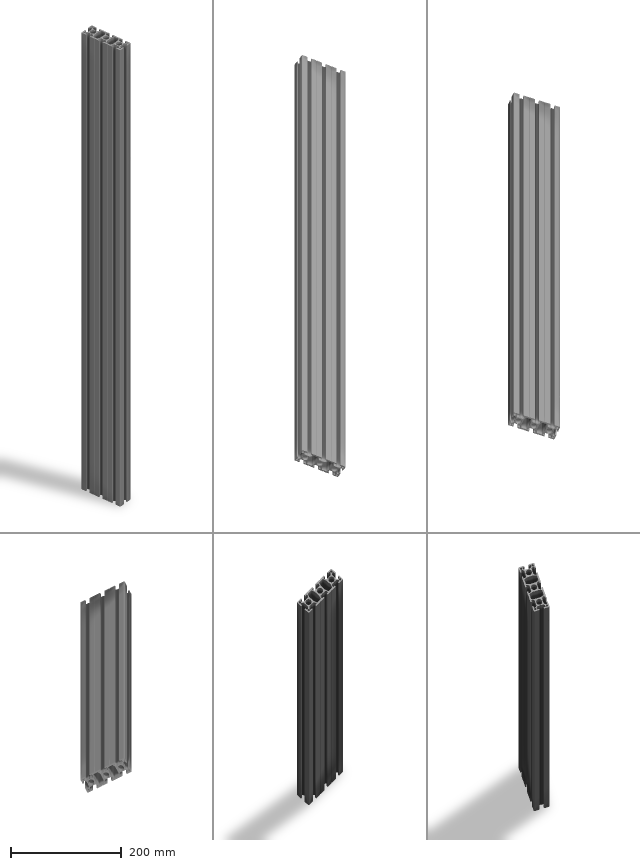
import cadquery as cq

length = 1000.0
module = 30.0
module_count = 3
width = module * module_count
half_module = module / 2
corner_radius = 2.0

slot_opening = 8.5
lip = 2.5
cavity_width = 16.0
cavity_side_depth = 5.5
slot_depth = 8.0
floor_width = 11.0

groove_width = 1.5
groove_depth = 1.0

bore_diameter = 11.0
chamber_width = 14.0
chamber_height = 24.0
chamber_flat = 9.5
chamber_side = 11.0
corner_hole_diameter = 4.0
corner_hole_inset = 4.0

module_centers = [(i - (module_count - 1) / 2) * module for i in range(module_count)]
join_centers = [(i - module_count / 2) * module for i in range(1, module_count)]


def mirrored_in_x(points):
    return [(-x, y) for x, y in reversed(points)]


def prism(outline, center_x, angle=0):
    """Full-length prism of an outline turned about its module axis at center_x."""
    solid = cq.Workplane("XY").polyline(outline).close().extrude(length)
    return solid.rotate((0, 0, 0), (0, 0, 1), angle).translate((center_x, 0, 0))


def slot(center_x, angle):
    """T-slot with a tapered bottom and a V-groove along its floor, open toward +Y at angle 0."""
    floor_y = half_module - slot_depth
    lip_y = half_module - lip
    right_side = [
        (groove_width / 2, floor_y),
        (floor_width / 2, floor_y),
        (cavity_width / 2, half_module - cavity_side_depth),
        (cavity_width / 2, lip_y),
        (slot_opening / 2, lip_y),
        (slot_opening / 2, half_module),
    ]
    groove_tip = (0, floor_y - groove_depth)
    return prism([groove_tip] + right_side + mirrored_in_x(right_side), center_x, angle)


def join_groove(center_x, angle):
    """V-groove in the outer face, on the +Y side at angle 0."""
    outline = [
        (-groove_width / 2, half_module),
        (0, half_module - groove_depth),
        (groove_width / 2, half_module),
    ]
    return prism(outline, center_x, angle)


def chamber(center_x):
    """Eight-sided hollow between two neighbouring modules."""
    upper_right = [
        (chamber_width / 2, chamber_side / 2),
        (chamber_flat / 2, chamber_height / 2),
    ]
    upper = upper_right + mirrored_in_x(upper_right)
    lower = [(-x, -y) for x, y in upper]
    return prism(upper + lower, center_x)


result = cq.Workplane("XY").rect(width, module).extrude(length)
result = result.edges("|Z").fillet(corner_radius)

for x in module_centers:
    result = result.cut(slot(x, 0))
    result = result.cut(slot(x, 180))
result = result.cut(slot(module_centers[0], 90))
result = result.cut(slot(module_centers[-1], -90))

bore_points = [(x, 0) for x in module_centers]
bores = cq.Workplane("XY").pushPoints(bore_points).circle(bore_diameter / 2).extrude(length)
result = result.cut(bores)

for x in join_centers:
    result = result.cut(join_groove(x, 0))
    result = result.cut(join_groove(x, 180))
    result = result.cut(chamber(x))

corner_x = width / 2 - corner_hole_inset
corner_y = half_module - corner_hole_inset
corner_points = [(x, y) for x in (-corner_x, corner_x) for y in (-corner_y, corner_y)]
corner_holes = cq.Workplane("XY").pushPoints(corner_points).circle(corner_hole_diameter / 2).extrude(length)
result = result.cut(corner_holes)